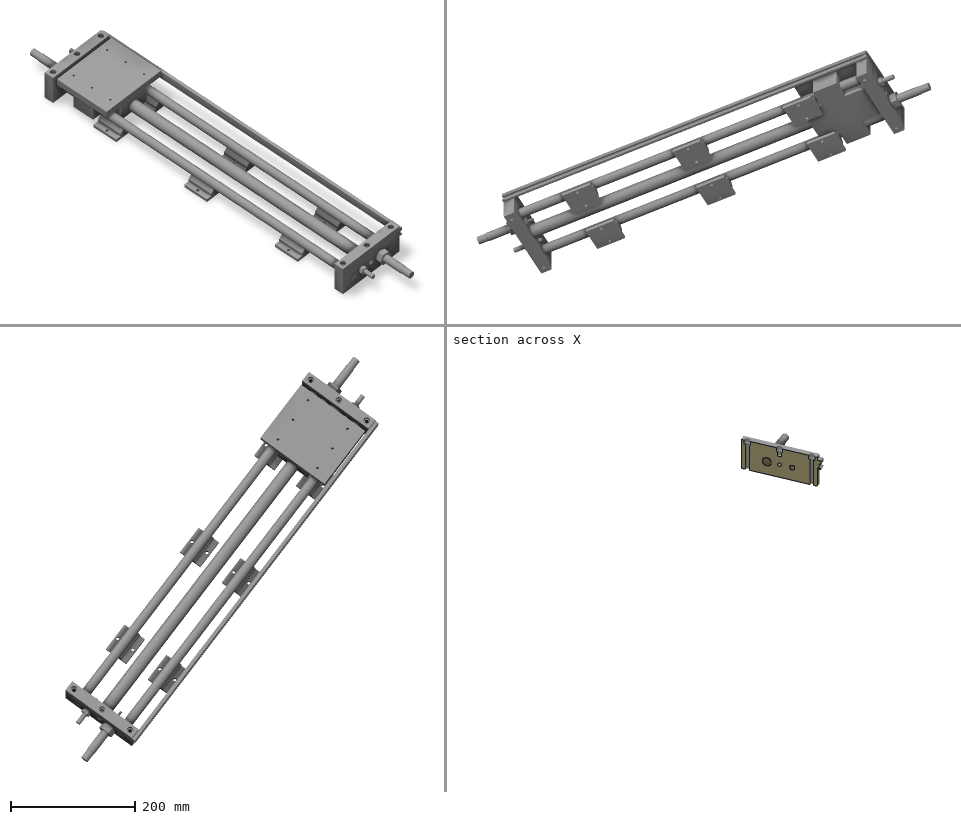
import cadquery as cq
import math

OVERALL_LENGTH = 794.0
HEIGHT = 57.0
MID_Y = -3.0
AXIS_Z = -3.6
TOP_Z = HEIGHT / 2
BOTTOM_Z = -HEIGHT / 2

PLATE_OUTER_X = 329.0
PLATE_THICKNESS = 18.0
PLATE_WIDTH = 133.0
PLATE_INNER_X = PLATE_OUTER_X - PLATE_THICKNESS
PLATE_MID_X = PLATE_OUTER_X - PLATE_THICKNESS / 2
PLATE_BACK_Y = MID_Y + PLATE_WIDTH / 2

MOUNT_PITCH = 56.0
MOUNT_HOLE_DIAMETER = 6.0
MOUNT_HEAD_DIAMETER = 10.0
MOUNT_HEAD_DEPTH = 7.0
CENTRE_MOUNT_DEPTH = 16.0

PORT_DIAMETER = 10.0
PORT_DEPTH = 8.0
PORT_DRILL_DIAMETER = 5.8
PORT_DRILL_DEPTH = 13.0
ROD_END_DIAMETER = 14.0
ROD_END_DEPTH = 1.0

ROD_DIAMETER = 16.0
ROD_OFFSET = 42.0
TUBE_DIAMETER = 21.5

RAIL_TOP_Z = 23.0
RAIL_HEIGHT = 17.5
RAIL_DEPTH = 6.0
RAIL_WEB = 3.0
RAIL_UPPER_LIP = 7.0
RAIL_LOWER_LIP = 3.0
RAIL_INNER_CHAMFER = 2.0
RAIL_OUTER_CHAMFER = 1.0

SUPPORT_LENGTH = 50.0
SUPPORT_PITCH = 200.0
SUPPORT_WIDTH = 40.5
SUPPORT_FLANGE = 5.95
SUPPORT_STEM_WIDTH = 21.0
SUPPORT_STEM_HEIGHT = 11.0
SUPPORT_HOLE_DIAMETER = 5.2
SUPPORT_HOLE_SPACING = 30.0

TABLE_MIN_X = -304.0
TABLE_LENGTH = 109.5
TABLE_WIDTH = 129.0
TABLE_THICKNESS = 13.0
TABLE_MID_X = TABLE_MIN_X + TABLE_LENGTH / 2
TABLE_UNDERSIDE_Z = TOP_Z - TABLE_THICKNESS
BLOCK_BOTTOM_Z = -15.0
TUBE_BLOCK_WIDTH = 60.0
BEARING_LENGTH = 43.0
BEARING_WIDTH = 121.0
TABLE_HOLE_DIAMETER = 4.2
TABLE_HOLE_DEPTH = 9.5
TABLE_COLUMN_PITCH = 40.5
TABLE_ROW_OFFSET = 40.0

STOP_OFFSET = 22.0
STOP_PROTRUSION = 2.8
COLLAR_LENGTH = 2.0

SHOCK_DIAMETER = 14.0
SHOCK_STEP_X = 380.0
SHOCK_TAIL_DIAMETER = 13.0
SHOCK_TAPER_LENGTH = 1.5
SHOCK_NUT_FLATS = 22.0
SHOCK_NUT_LENGTH = 9.5
SHOCK_COLLAR_DIAMETER = 21.5
SHOCK_PISTON_DIAMETER = 4.0
FREE_PISTON_END_X = 298.0

SCREW_DIAMETER = 8.0
SCREW_OUTER_X = 355.0
SCREW_NUT_FLATS = 13.5
SCREW_NUT_LENGTH = 5.0
SCREW_COLLAR_DIAMETER = 13.0
SCREW_TIP_DIAMETER = 5.2


def box(x_range, y_range, z_range):
    """Block between the given limits."""
    (x0, x1), (y0, y1), (z0, z1) = x_range, y_range, z_range
    return cq.Workplane("XY").box(x1 - x0, y1 - y0, z1 - z0, centered=False).translate((x0, y0, z0))


def around_mid(width):
    """Y limits of a width centred on the symmetry plane."""
    return (MID_Y - width / 2, MID_Y + width / 2)


def rod(diameter, x_range, y):
    """Cylinder along X at the common axis height."""
    x0, x1 = x_range
    return cq.Workplane("YZ", origin=(x0, y, AXIS_Z)).circle(diameter / 2).extrude(x1 - x0)


def cone(diameters, x_range, y):
    """Truncated cone along X at the common axis height."""
    x0, x1 = x_range
    start = cq.Workplane("YZ", origin=(x0, y, AXIS_Z)).circle(diameters[0] / 2)
    return start.workplane(offset=x1 - x0).circle(diameters[1] / 2).loft()


def drill_down(diameter, x, y, z_top, depth):
    """Vertical cylinder that cuts a hole from z_top downwards."""
    return cq.Workplane("XY", origin=(x, y, z_top)).circle(diameter / 2).extrude(-depth)


ROD_YS = [MID_Y + side * ROD_OFFSET for side in (-1, 1)]


def end_plate(side):
    """End plate at the -X (side = -1) or +X (side = 1) end."""
    x_range = sorted((side * PLATE_INNER_X, side * PLATE_OUTER_X))
    return box(x_range, around_mid(PLATE_WIDTH), (BOTTOM_Z, TOP_Z))


def plate_holes(side):
    """Mounting holes, port, rod-end recesses and stop holes of one end plate."""
    x = side * PLATE_MID_X
    holes = []
    for row in (-1, 0, 1):
        y = MID_Y + row * MOUNT_PITCH
        depth = HEIGHT if row else CENTRE_MOUNT_DEPTH
        holes.append(drill_down(MOUNT_HEAD_DIAMETER, x, y, TOP_Z, MOUNT_HEAD_DEPTH))
        holes.append(drill_down(MOUNT_HOLE_DIAMETER, x, y, TOP_Z, depth))

    outer_x = side * PLATE_OUTER_X
    holes.append(rod(PORT_DIAMETER, sorted((outer_x, outer_x - side * PORT_DEPTH)), MID_Y))
    holes.append(rod(PORT_DRILL_DIAMETER, sorted((outer_x, outer_x - side * PORT_DRILL_DEPTH)), MID_Y))
    for y in ROD_YS:
        holes.append(rod(ROD_END_DIAMETER, sorted((outer_x, outer_x - side * ROD_END_DEPTH)), y))

    through = sorted((outer_x, side * PLATE_INNER_X))
    holes.append(rod(SHOCK_DIAMETER, through, MID_Y + side * STOP_OFFSET))
    holes.append(rod(SCREW_DIAMETER, through, MID_Y - side * STOP_OFFSET))
    return holes


def channel_rail():
    """Rail whose groove opens towards +Y."""
    bottom = RAIL_TOP_Z - RAIL_HEIGHT
    x_range = (-PLATE_OUTER_X, PLATE_OUTER_X)
    back = PLATE_BACK_Y + RAIL_DEPTH
    rail = box(x_range, (PLATE_BACK_Y, back), (bottom, RAIL_TOP_Z))
    rail = rail.edges("|X and <Y").edges("<Z").chamfer(RAIL_INNER_CHAMFER)
    rail = rail.edges("|X and >Y").chamfer(RAIL_OUTER_CHAMFER)
    groove = box(
        x_range,
        (PLATE_BACK_Y + RAIL_WEB, back),
        (bottom + RAIL_LOWER_LIP, RAIL_TOP_Z - RAIL_UPPER_LIP),
    )
    return rail.cut(groove)


def rod_support(x, y):
    """Flanged foot with 45-degree shoulders that carries a guide rod."""
    half_base = SUPPORT_WIDTH / 2
    half_stem = SUPPORT_STEM_WIDTH / 2
    flange_z = BOTTOM_Z + SUPPORT_FLANGE
    stem_z = BOTTOM_Z + SUPPORT_STEM_HEIGHT
    foot = (
        cq.Workplane("YZ", origin=(x - SUPPORT_LENGTH / 2, y, 0))
        .moveTo(-half_base, BOTTOM_Z)
        .lineTo(half_base, BOTTOM_Z)
        .lineTo(half_base, flange_z)
        .lineTo(half_stem, flange_z)
        .lineTo(half_stem, stem_z)
        .lineTo(0, stem_z + half_stem)
        .lineTo(-half_stem, stem_z)
        .lineTo(-half_stem, flange_z)
        .lineTo(-half_base, flange_z)
        .close()
        .extrude(SUPPORT_LENGTH)
    )
    for side in (-1, 1):
        hole_y = y + side * SUPPORT_HOLE_SPACING / 2
        foot = foot.cut(drill_down(SUPPORT_HOLE_DIAMETER, x, hole_y, flange_z, SUPPORT_FLANGE))
    return foot


def make_frame():
    span = (-PLATE_INNER_X, PLATE_INNER_X)
    body = end_plate(-1).union(channel_rail()).union(end_plate(1))
    body = body.union(rod(TUBE_DIAMETER, span, MID_Y))
    for y in ROD_YS:
        body = body.union(rod(ROD_DIAMETER, span, y))
        for step in (-1, 0, 1):
            body = body.union(rod_support(step * SUPPORT_PITCH, y))
    for side in (-1, 1):
        for hole in plate_holes(side):
            body = body.cut(hole)
    return body


def make_slide_table():
    x_range = (TABLE_MIN_X, TABLE_MIN_X + TABLE_LENGTH)
    bearing_x = (TABLE_MID_X - BEARING_LENGTH / 2, TABLE_MID_X + BEARING_LENGTH / 2)
    block_z = (BLOCK_BOTTOM_Z, TABLE_UNDERSIDE_Z)

    table = box(x_range, around_mid(TABLE_WIDTH), (TABLE_UNDERSIDE_Z, TOP_Z))
    table = table.union(box(x_range, around_mid(TUBE_BLOCK_WIDTH), block_z))
    table = table.union(box(bearing_x, around_mid(BEARING_WIDTH), block_z))

    table = table.cut(rod(TUBE_DIAMETER, x_range, MID_Y))
    for y in ROD_YS:
        table = table.cut(rod(ROD_DIAMETER, x_range, y))
    for column in (-1, 0, 1):
        for row in (-1, 1):
            x = TABLE_MID_X + column * TABLE_COLUMN_PITCH
            y = MID_Y + row * TABLE_ROW_OFFSET
            table = table.cut(drill_down(TABLE_HOLE_DIAMETER, x, y, TOP_Z, TABLE_HOLE_DEPTH))
    return table


def lock_nut(flats, length, collar_diameter, y):
    """Hexagon nut with a round collar against the outer plate face."""
    collar_end = PLATE_OUTER_X + COLLAR_LENGTH
    corners = flats / math.cos(math.pi / 6)
    hexagon = cq.Workplane("YZ", origin=(collar_end, y, AXIS_Z)).polygon(6, corners).extrude(length)
    return hexagon.union(rod(collar_diameter, (PLATE_OUTER_X, collar_end), y))


def to_end(body, side):
    """Leave a stop at the +X end, or turn it half a turn to the -X end."""
    if side > 0:
        return body
    return body.rotate((0, MID_Y, 0), (0, MID_Y, 1), 180)


def make_shock_absorber(side, piston_end_x):
    y = MID_Y + STOP_OFFSET
    inner_x = PLATE_INNER_X - STOP_PROTRUSION
    taper_x = SHOCK_STEP_X - SHOCK_TAPER_LENGTH
    shock = rod(SHOCK_DIAMETER, (inner_x, taper_x), y)
    shock = shock.union(cone((SHOCK_DIAMETER, SHOCK_TAIL_DIAMETER), (taper_x, SHOCK_STEP_X), y))
    shock = shock.union(rod(SHOCK_TAIL_DIAMETER, (SHOCK_STEP_X, OVERALL_LENGTH / 2), y))
    shock = shock.union(rod(SHOCK_PISTON_DIAMETER, (piston_end_x, inner_x), y))
    shock = shock.union(lock_nut(SHOCK_NUT_FLATS, SHOCK_NUT_LENGTH, SHOCK_COLLAR_DIAMETER, y))
    return to_end(shock, side)


def make_stop_screw(side):
    """Screw whose conical tip ends against the end face of the parked table."""
    y = MID_Y - STOP_OFFSET
    cone_start = PLATE_INNER_X - STOP_PROTRUSION
    screw = rod(SCREW_DIAMETER, (cone_start, SCREW_OUTER_X), y)
    screw = screw.union(cone((SCREW_TIP_DIAMETER, SCREW_DIAMETER), (-TABLE_MIN_X, cone_start), y))
    screw = screw.union(lock_nut(SCREW_NUT_FLATS, SCREW_NUT_LENGTH, SCREW_COLLAR_DIAMETER, y))
    return to_end(screw, side)


frame = make_frame()
slide_table = make_slide_table()

piston_ends = {-1: -TABLE_MIN_X, 1: FREE_PISTON_END_X}
shock_absorbers = [make_shock_absorber(side, end_x) for side, end_x in piston_ends.items()]
stop_screws = [make_stop_screw(side) for side in (-1, 1)]

bodies = [frame, slide_table, *shock_absorbers, *stop_screws]
result = cq.Compound.makeCompound([body.val() for body in bodies])